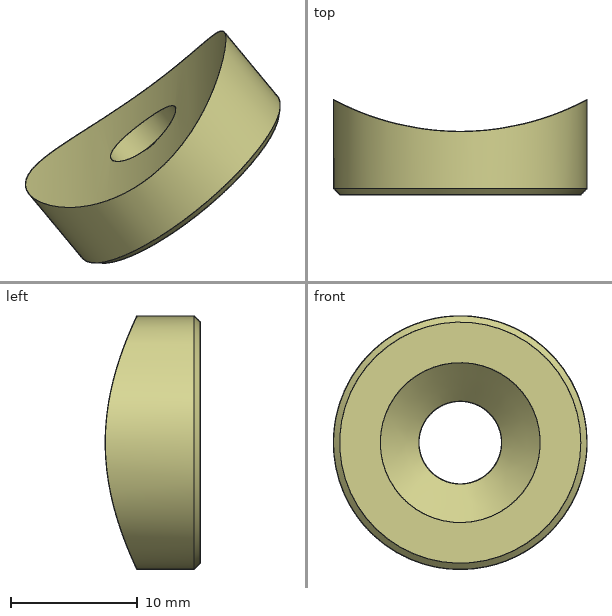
import cadquery as cq
import math

outer_diameter = 20.0
center_thickness = 5.0
tube_radius = 21.2
edge_chamfer = 0.5
hole_diameter = 6.5
countersink_diameter = 12.6
countersink_angle = 90.0

outer_radius = outer_diameter / 2
saddle_depth = tube_radius - math.sqrt(tube_radius**2 - outer_radius**2)
edge_thickness = center_thickness + saddle_depth


def make_disc():
    """Full-thickness disc with its front rim chamfered."""
    disc = cq.Workplane("XZ").circle(outer_radius).extrude(-edge_thickness)
    return disc.faces("<Y").edges().chamfer(edge_chamfer)


def make_tube():
    """Tube that the back rests on, running along Z."""
    return (
        cq.Workplane("XY")
        .center(0, center_thickness + tube_radius)
        .circle(tube_radius)
        .extrude(outer_radius, both=True)
    )


def cut_countersunk_hole(body):
    """Through hole on the disc axis, countersunk from the front face."""
    return (
        body.faces("<Y")
        .workplane(origin=(0, 0, 0))
        .cskHole(hole_diameter, countersink_diameter, countersink_angle)
    )


result = cut_countersunk_hole(make_disc().cut(make_tube()))